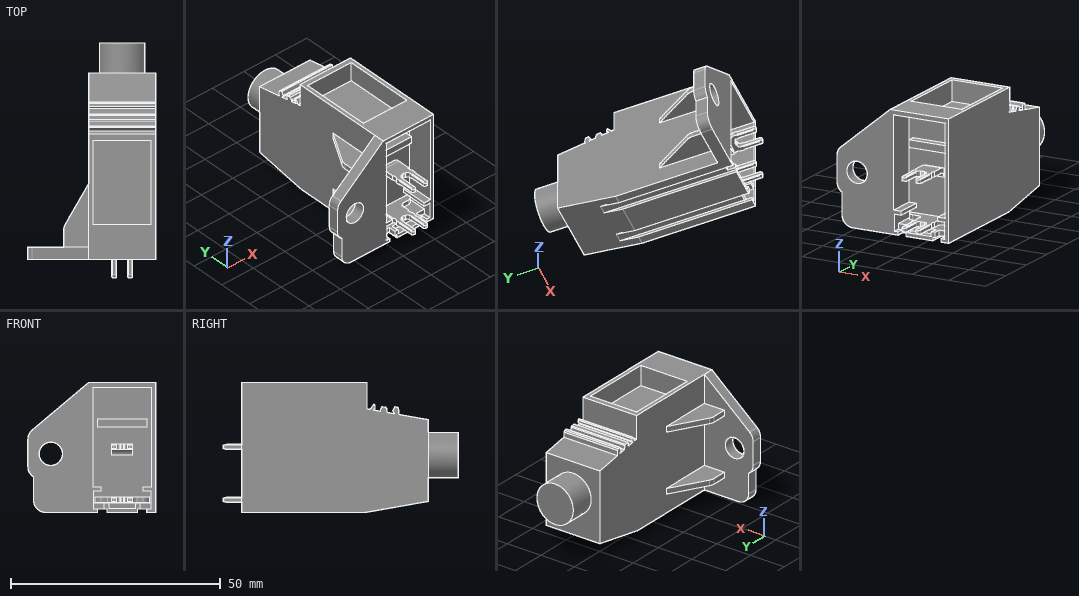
import cadquery as cq
import math


WIDTH = 16.0
MID_X = WIDTH / 2
HEIGHT = 31.0
DEPTH = 44.5
STEP_Y = 29.9
TAPER = math.tan(math.radians(10))
REAR_TOP_Z = 22.15
REAR_BOTTOM_Z = 2.65

FLANGE_REACH = 14.5
FLANGE_THICKNESS = 3.0
FLANGE_RADIUS = 3.0
FLANGE_SHOULDER_Z = 18.8
LOBE_ARC_Z = 11.0
FOOT_REACH = 13.15
HOLE_X = -9.0
HOLE_Z = 14.0
HOLE_DIAMETER = 5.5
GUSSET_REACH = 5.95
GUSSET_END_Y = 18.1
GUSSET_ANGLE = 60
GUSSET_RADIUS = 2.7
GUSSET_THICKNESS = 1.5
GUSSET_BASES = (5.1, 21.7)

LABEL_MARGIN = 1.1
LABEL_START_Y = 8.4
LABEL_LENGTH = 20.0
LABEL_DEPTH = 5.4

CAVITY_DEPTH = 7.5
CAVITY_WALL = 1.0
CAVITY_TOP_Z = 29.8
LEDGE_TOP_Z = 6.1
LEDGE_BOTTOM_Z = 5.1
LEDGE_REACH = 3.0
LOWER_WALL = 1.15
SHELF_Z = 2.25
SHELF_FRONT_Y = 2.0
SIDE_FLOOR_Z = 0.85
SIDE_POCKET_END_X = 3.7
TRAY_FLOOR_Z = 1.0
TRAY_START_X = 4.85
TRAY_BEVEL_WIDTH = 0.2
TRAY_BEVEL_HEIGHT = 0.35
CHANNEL_START_X = 2.15
CHANNEL_WIDTH = 2.2
BAR_LENGTH = 11.75
BAR_DEPTH = 2.0
BAR_BOTTOM_Z = 20.4
BAR_TOP_Z = 22.3

PLUNGER_DIAMETER = 10.85
PLUNGER_LENGTH = 7.1
PLUNGER_Z = 13.7

TERMINAL_THICKNESS = 1.3
UPPER_TERMINAL_Z = 15.0
LOWER_TERMINAL_Z = 2.4
STEM_WIDTH = 5.0
NECK_INSET = 0.25
NECK_START_Y = 2.9
NECK_END_Y = 1.4
PIN_WIDTH = 1.2
PIN_LENGTH = 4.4
PIN_ROOT_Y = 0.4
PIN_CHAMFER = 0.18
TIP_RADIUS = 0.45
TIP_BEVEL_LENGTH = 0.85
TIP_BEVEL_HEIGHT = 0.25
SLOT_END_Y = 1.6
SLOT_RADIUS = 0.6
RELIEF_WIDTH = 1.1
RELIEF_FLOOR_WIDTH = 0.55
RELIEF_DEPTH = 0.2
BEND_INNER_RADIUS = 1.3
WING_WIDTH = 13.0
WING_FRONT_Y = 5.7
WING_RADIUS = 1.5
WING_ROOT_RADIUS = 1.0


def box(x0, x1, y0, y1, z0, z1):
    """Block between two opposite corners."""
    return cq.Workplane("XY").box(x1 - x0, y1 - y0, z1 - z0, centered=False).translate((x0, y0, z0))


def centred_box(width, y0, y1, z0, z1):
    """Block that straddles the middle plane of the housing."""
    return box(MID_X - width / 2, MID_X + width / 2, y0, y1, z0, z1)


def both_sides(shape):
    """A shape together with its mirror image across the middle plane."""
    mirrored = shape.mirror("YZ").translate((WIDTH, 0, 0))
    return shape.add(mirrored).combine()


def side_prism(points, x0=0.0, x1=WIDTH):
    """(y, z) outline swept along X."""
    return cq.Workplane("YZ").workplane(offset=x0).polyline(points).close().extrude(x1 - x0)



def taper_top_z(y):
    """Height of the sloping top face behind the step."""
    return REAR_TOP_Z + (DEPTH - y) * TAPER


def housing_block():
    return side_prism([
        (0, 0),
        (DEPTH - REAR_BOTTOM_Z / TAPER, 0),
        (DEPTH, REAR_BOTTOM_Z),
        (DEPTH, REAR_TOP_Z),
        (STEP_Y, taper_top_z(STEP_Y)),
        (STEP_Y, HEIGHT),
        (0, HEIGHT),
    ])


def grip_ridges():
    """Three finger ridges on the sloping top; each is rooted slightly below the slope."""
    root_overlap = 0.1
    crests = [
        [(37.5, taper_top_z(37.5)), (37.4, 24.7), (37.15, 25.1), (36.5, 25.22), (35.95, 24.3),
         (36.35, taper_top_z(36.35))],
        [(34.7, taper_top_z(34.7)), (34.55, 24.85), (34.35, 25.1), (33.4, 25.26), (33.05, 24.6),
         (33.0, taper_top_z(33.0))],
        [(31.35, taper_top_z(31.35)), (31.8, 24.95), (31.75, 25.6), (31.5, 25.9),
         (30.6, taper_top_z(30.6))],
    ]
    ridges = cq.Workplane("XY")
    for crest in crests:
        first_y, first_z = crest[0]
        last_y, last_z = crest[-1]
        root = [(last_y, last_z - root_overlap), (first_y, first_z - root_overlap)]
        ridges = ridges.add(side_prism(crest + root))
    return ridges.combine()


def flange():
    lobe_angle = math.acos(1 - (FLANGE_REACH - FOOT_REACH) / FLANGE_RADIUS)
    lobe_centre_x = -FLANGE_REACH + FLANGE_RADIUS

    def lobe_point(angle):
        return (lobe_centre_x - FLANGE_RADIUS * math.cos(angle),
                LOBE_ARC_Z - FLANGE_RADIUS * math.sin(angle))

    plate = (
        cq.Workplane("XZ")
        .moveTo(0, 0)
        .lineTo(0, HEIGHT)
        .lineTo(-FLANGE_REACH, FLANGE_SHOULDER_Z)
        .lineTo(-FLANGE_REACH, LOBE_ARC_Z)
        .threePointArc(lobe_point(lobe_angle / 2), lobe_point(lobe_angle))
        .lineTo(-FOOT_REACH, 0)
        .close()
        .extrude(-FLANGE_THICKNESS)
    )
    rounded_corners = [(-FLANGE_REACH, FLANGE_SHOULDER_Z), (-FOOT_REACH, 0)]
    for x, z in rounded_corners:
        corner = cq.selectors.NearestToPointSelector((x, FLANGE_THICKNESS / 2, z))
        plate = plate.edges(corner).fillet(FLANGE_RADIUS)
    hole = (
        cq.Workplane("XZ").center(HOLE_X, HOLE_Z).circle(HOLE_DIAMETER / 2).extrude(-FLANGE_THICKNESS)
    )
    return plate.cut(hole)


def gusset(base_z):
    knee_y = GUSSET_END_Y - GUSSET_REACH * math.tan(math.radians(GUSSET_ANGLE))
    outline = [(0, 0), (0, GUSSET_END_Y), (-GUSSET_REACH, knee_y), (-GUSSET_REACH, 0)]
    knee = cq.selectors.NearestToPointSelector((-GUSSET_REACH, knee_y, base_z))
    return (
        cq.Workplane("XY").workplane(offset=base_z)
        .polyline(outline).close().extrude(GUSSET_THICKNESS)
        .edges("|Z").edges(knee).fillet(GUSSET_RADIUS)
    )


def label_pocket():
    return box(LABEL_MARGIN, WIDTH - LABEL_MARGIN, LABEL_START_Y, LABEL_START_Y + LABEL_LENGTH,
               HEIGHT - LABEL_DEPTH, HEIGHT)


def tray_pocket():
    """Front pocket between two low walls whose inner top edges are bevelled."""
    half = MID_X - TRAY_START_X
    half_top = half + TRAY_BEVEL_WIDTH
    bevel_z = SHELF_Z - TRAY_BEVEL_HEIGHT
    outline = [
        (MID_X - half, TRAY_FLOOR_Z), (MID_X + half, TRAY_FLOOR_Z),
        (MID_X + half, bevel_z), (MID_X + half_top, SHELF_Z),
        (MID_X - half_top, SHELF_Z), (MID_X - half, bevel_z),
    ]
    return cq.Workplane("XZ").polyline(outline).close().extrude(-SHELF_FRONT_Y)


def cavity():
    upper = centred_box(WIDTH - 2 * CAVITY_WALL, 0, CAVITY_DEPTH, LEDGE_TOP_Z, CAVITY_TOP_Z)
    between_ledges = centred_box(WIDTH - 2 * LEDGE_REACH, 0, CAVITY_DEPTH, LEDGE_BOTTOM_Z, LEDGE_TOP_Z)
    lower = centred_box(WIDTH - 2 * LOWER_WALL, 0, CAVITY_DEPTH, SHELF_Z, LEDGE_BOTTOM_Z)
    side_pockets = both_sides(
        box(LOWER_WALL, SIDE_POCKET_END_X, 0, SHELF_FRONT_Y, SIDE_FLOOR_Z, SHELF_Z)
    )
    bar = centred_box(BAR_LENGTH, CAVITY_DEPTH - BAR_DEPTH, CAVITY_DEPTH, BAR_BOTTOM_Z, BAR_TOP_Z)
    return upper.union(between_ledges).union(lower).union(side_pockets).union(tray_pocket()).cut(bar)


def bottom_channels():
    """Two grooves that run the whole length of the underside."""
    return both_sides(
        box(CHANNEL_START_X, CHANNEL_START_X + CHANNEL_WIDTH, 0, DEPTH, 0, SIDE_FLOOR_Z)
    )



def pin(left_x):
    """Pin with bevelled long edges and a rounded, tapered tip; its bottom is at z = 0."""
    length = PIN_LENGTH + PIN_ROOT_Y
    plan = box(left_x, left_x + PIN_WIDTH, -PIN_LENGTH, PIN_ROOT_Y, 0, TERMINAL_THICKNESS)
    plan = plan.edges("|Z and <Y").fillet(TIP_RADIUS)
    bevel_y = TIP_BEVEL_LENGTH - PIN_LENGTH
    profile = side_prism([
        (PIN_ROOT_Y, 0), (bevel_y, 0),
        (-PIN_LENGTH, TIP_BEVEL_HEIGHT), (-PIN_LENGTH, TERMINAL_THICKNESS - TIP_BEVEL_HEIGHT),
        (bevel_y, TERMINAL_THICKNESS), (PIN_ROOT_Y, TERMINAL_THICKNESS),
    ])
    section = (
        cq.Workplane("XZ", origin=(left_x + PIN_WIDTH / 2, PIN_ROOT_Y, TERMINAL_THICKNESS / 2))
        .rect(PIN_WIDTH, TERMINAL_THICKNESS).extrude(length)
        .edges("|Y").chamfer(PIN_CHAMFER)
    )
    return plan.intersect(profile).intersect(section)


def fork(back_y):
    """Flat stem with a slotted front end and two pins; its bottom is at z = 0."""
    stem = centred_box(STEM_WIDTH, PIN_ROOT_Y, back_y, 0, TERMINAL_THICKNESS)

    left_x = MID_X - STEM_WIDTH / 2
    neck_mid_y = (NECK_START_Y + NECK_END_Y) / 2
    neck = both_sides(
        cq.Workplane("XY")
        .moveTo(left_x, NECK_START_Y)
        .threePointArc((left_x + NECK_INSET, neck_mid_y), (left_x, NECK_END_Y))
        .close().extrude(TERMINAL_THICKNESS)
    )
    slot = centred_box(STEM_WIDTH - 2 * PIN_WIDTH, PIN_ROOT_Y, SLOT_END_Y, 0, TERMINAL_THICKNESS)
    slot = slot.edges("|Z and >Y").fillet(SLOT_RADIUS)
    relief_outline = [
        (MID_X - RELIEF_WIDTH / 2, SLOT_END_Y),
        (MID_X - RELIEF_FLOOR_WIDTH / 2, SLOT_END_Y + RELIEF_DEPTH),
        (MID_X + RELIEF_FLOOR_WIDTH / 2, SLOT_END_Y + RELIEF_DEPTH),
        (MID_X + RELIEF_WIDTH / 2, SLOT_END_Y),
    ]
    relief = cq.Workplane("XY").polyline(relief_outline).close().extrude(TERMINAL_THICKNESS)
    return stem.cut(neck).cut(slot).cut(relief).union(both_sides(pin(left_x)))


def upper_terminal():
    """Fork whose rear end bends down into the back wall of the cavity."""
    bend_y = CAVITY_DEPTH - BEND_INNER_RADIUS
    outer_radius = BEND_INNER_RADIUS + TERMINAL_THICKNESS
    halfway = math.sqrt(0.5)
    bend = (
        cq.Workplane("YZ", origin=(MID_X - STEM_WIDTH / 2, bend_y, -BEND_INNER_RADIUS))
        .moveTo(0, BEND_INNER_RADIUS)
        .lineTo(0, outer_radius)
        .threePointArc((outer_radius * halfway, outer_radius * halfway), (outer_radius, 0))
        .lineTo(BEND_INNER_RADIUS, 0)
        .threePointArc((BEND_INNER_RADIUS * halfway, BEND_INNER_RADIUS * halfway), (0, BEND_INNER_RADIUS))
        .close().extrude(STEM_WIDTH)
    )
    return fork(bend_y).union(bend).translate((0, 0, UPPER_TERMINAL_Z))


def lower_terminal():
    """Fork with a wide rear plate that stops against the back wall of the cavity."""
    wing = centred_box(WING_WIDTH, WING_FRONT_Y, CAVITY_DEPTH, 0, TERMINAL_THICKNESS)
    wing = wing.edges("|Z and <Y").fillet(WING_RADIUS)
    terminal = fork(CAVITY_DEPTH).union(wing)
    for side in (-1, 1):
        root = (MID_X + side * STEM_WIDTH / 2, WING_FRONT_Y, TERMINAL_THICKNESS / 2)
        terminal = terminal.edges(cq.selectors.NearestToPointSelector(root)).fillet(WING_ROOT_RADIUS)
    return terminal.translate((0, 0, LOWER_TERMINAL_Z))



terminals = [upper_terminal(), lower_terminal()]

housing = housing_block().union(grip_ridges()).union(flange())
for base_z in GUSSET_BASES:
    housing = housing.union(gusset(base_z))
housing = housing.cut(label_pocket()).cut(cavity()).cut(bottom_channels())
for terminal in terminals:
    housing = housing.cut(terminal)

plunger = (
    cq.Workplane("XZ", origin=(MID_X, DEPTH, PLUNGER_Z))
    .circle(PLUNGER_DIAMETER / 2).extrude(-PLUNGER_LENGTH)
)

result = cq.Compound.makeCompound(
    [housing.val(), plunger.val(), *[terminal.val() for terminal in terminals]]
)